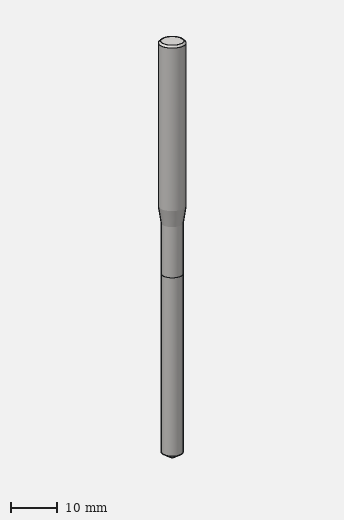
import cadquery as cq
import math

total_length = 96.0
shank_diameter = 6.0
cutter_diameter = 4.7
neck_diameter = cutter_diameter

cutter_top = 42.4
neck_top = 54.0
taper_top = 58.0

shank_chamfer = 0.5
point_angle = 118.0

shank_radius = shank_diameter / 2
neck_radius = neck_diameter / 2
cutter_radius = cutter_diameter / 2
point_height = cutter_radius / math.tan(math.radians(point_angle / 2))


def make_cutter():
    """Cutting body: a cylinder ending in a conical drill point at the origin."""
    half_profile = (
        cq.Workplane("XZ")
        .moveTo(0, 0)
        .lineTo(cutter_radius, point_height)
        .lineTo(cutter_radius, cutter_top)
        .lineTo(0, cutter_top)
        .close()
    )
    return half_profile.revolve(360, (0, 0), (0, 1))


def make_shank():
    """Shank body: a neck, a taper and a grip cylinder with a chamfered top edge."""
    half_profile = (
        cq.Workplane("XZ")
        .moveTo(0, cutter_top)
        .lineTo(neck_radius, cutter_top)
        .lineTo(neck_radius, neck_top)
        .lineTo(shank_radius, taper_top)
        .lineTo(shank_radius, total_length)
        .lineTo(0, total_length)
        .close()
    )
    shank = half_profile.revolve(360, (0, 0), (0, 1))
    return shank.faces(">Z").edges().chamfer(shank_chamfer)


cutter = make_cutter()
shank = make_shank()

result = cq.Compound.makeCompound([cutter.val(), shank.val()])